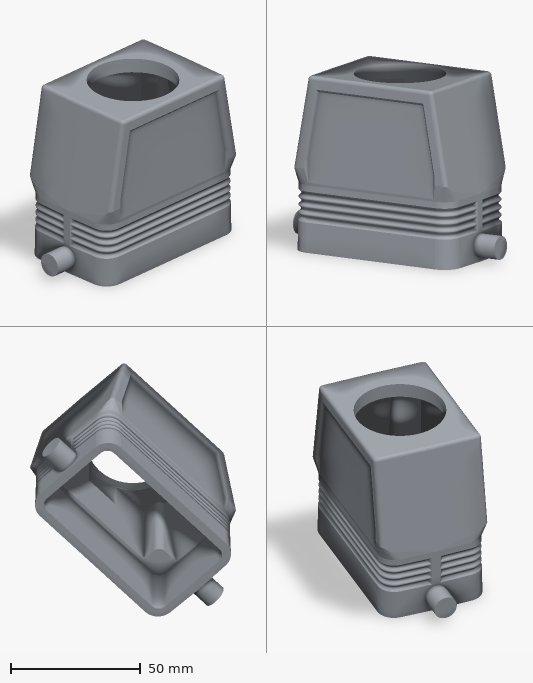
import cadquery as cq
import math

total_length = 91.2
total_height = 70.0
hood_width = 45.0
hood_half_x = hood_width / 2

base_height = 26.6
base_width = 43.3
base_half_x = base_width / 2
base_half_y = 36.5
base_corner_radius = 6.9
base_draft_angle = 0.8
base_draft = math.tan(math.radians(base_draft_angle))
base_crown = math.tan(math.radians(1.5))

hood_lean = math.tan(math.radians(10.3))
hood_crown = math.tan(math.radians(0.6))
hood_corner_radius = 1.55
hood_top_fillet = 1.4

skirt_top = 33.3
skirt_lean = math.tan(math.radians(6.4))

groove_count = 4
groove_pitch = 3.1
groove_top = 24.1
groove_rounding = 0.55
crest_inset = 0.1
groove_overrun = 1.4
strip_half_width = 1.5

panel_depth = 1.0
panel_top = 65.0
panel_knee = 36.6
panel_bottom = 24.6
panel_edge_margin = 4.8

entry_radius = 17.9
entry_scoop_floor = 50.2
pin_diameter = 9.3
pin_height = 6.4

roof_thickness = 5.8
cavity_side_near = 18.2
cavity_side_far = 16.1
end_wall = 3.8
boss_inner_x = 7.75
boss_inner_y = 22.8
boss_rounding = 3.0
rim_wall = 3.2
rim_corner_radius = 3.7

waist_half_x = base_half_x - base_draft * base_height
waist_half_y = base_half_y - base_draft * base_height
waist_corner_radius = base_corner_radius - base_draft * base_height


def peaked_outline(half_x, half_y, crown, corner_radius=0):
    """Rectangle whose two ends rise to a shallow peak on the Y axis."""
    corner_y = half_y - crown * half_x
    points = [
        (half_x, -corner_y),
        (half_x, corner_y),
        (0, half_y),
        (-half_x, corner_y),
        (-half_x, -corner_y),
        (0, -half_y),
        (half_x, -corner_y),
    ]
    outline = cq.Sketch().polygon(points)
    if corner_radius:
        outline = outline.vertices("<X or >X").fillet(corner_radius)
    return outline.reset()


def ruled_body(lower, upper, z_low, z_high):
    """Solid with straight walls between two outlines."""
    raised = upper.moved(cq.Location(cq.Vector(0, 0, z_high - z_low)))
    return cq.Workplane(origin=(0, 0, z_low)).placeSketch(lower, raised).loft(ruled=True)


def hood_half_y(z):
    return waist_half_y - hood_lean * (z - base_height)


def make_base():
    outline = peaked_outline(base_half_x, base_half_y, base_crown, base_corner_radius)
    return cq.Workplane().placeSketch(outline).extrude(base_height, taper=base_draft_angle)


def make_hood():
    lower = peaked_outline(hood_half_x, waist_half_y, hood_crown)
    upper = peaked_outline(hood_half_x, hood_half_y(total_height), hood_crown)
    hood = ruled_body(lower, upper, base_height, total_height)
    side_edges = hood.faces("<X or >X").edges("not #Z")
    hood = side_edges.fillet(hood_corner_radius)
    hood = hood.faces(">Z").edges().fillet(hood_top_fillet)

    skirt_half_y = waist_half_y - skirt_lean * (skirt_top - base_height)
    skirt_low = peaked_outline(waist_half_x, waist_half_y, base_crown, waist_corner_radius)
    skirt_high = peaked_outline(hood_half_x, skirt_half_y, base_crown, hood_corner_radius)
    skirt = ruled_body(skirt_low, skirt_high, base_height, skirt_top)
    above = cq.Workplane(origin=(0, 0, skirt_top)).box(
        total_length, total_length, total_height, centered=(True, True, False)
    )
    return hood.intersect(skirt).union(hood.intersect(above))


def groove_profile():
    """Closed section of the grooves on the YZ plane at the +Y end: 45 degree flanks, rounded."""
    sharp_crest_depth = crest_inset - groove_rounding * (math.sqrt(2) - 1)
    half_pitch = groove_pitch / 2
    valley_depth = half_pitch + sharp_crest_depth

    def at_wall(depth, z):
        return (base_half_y - base_draft * z - depth, z)

    first_valley = groove_top - valley_depth
    zigzag = []
    for step in range(2 * groove_count - 1):
        depth = valley_depth if step % 2 == 0 else sharp_crest_depth
        zigzag.append(at_wall(depth, first_valley - step * half_pitch))
    last_valley = first_valley - (groove_count - 1) * groove_pitch
    upper_end = at_wall(-groove_overrun, first_valley + valley_depth + groove_overrun)
    lower_end = at_wall(-groove_overrun, last_valley - valley_depth - groove_overrun)

    corners = [cq.Vector(0, y, z) for y, z in [upper_end] + zigzag + [lower_end]]
    section = cq.Wire.makePolygon(corners, close=True)
    middle_z = (first_valley + last_valley) / 2
    reach = groove_count * half_pitch
    bends = [vertex for vertex in section.Vertices() if abs(vertex.Z - middle_z) < reach]
    return section.fillet2D(groove_rounding, bends)


def make_grooves():
    """Cutter for the grooves, stopping at a 45 degree flanked strip in the middle of each end."""
    outline = peaked_outline(base_half_x, base_half_y, base_crown, base_corner_radius)
    half_loop = [edge for edge in outline.edges().vals() if edge.Center().x > 0]
    path = cq.Workplane(cq.Wire.assembleEdges(half_loop))
    section = cq.Workplane("YZ").add(groove_profile()).toPending()
    half_cutter = section.sweep(path, transition="right")

    flank_run = 2 * groove_pitch
    outside = base_half_y + groove_overrun
    inside = base_half_y - flank_run
    strip = (
        cq.Workplane("XY")
        .moveTo(-strip_half_width - flank_run, inside)
        .lineTo(strip_half_width + flank_run, inside)
        .lineTo(strip_half_width, base_half_y)
        .lineTo(strip_half_width, outside)
        .lineTo(-strip_half_width, outside)
        .lineTo(-strip_half_width, base_half_y)
        .close()
        .extrude(base_height)
    )
    half_cutter = half_cutter.cut(strip).cut(strip.mirror("XZ"))
    return [half_cutter, half_cutter.mirror("YZ")]


def make_panel_recess():
    """Cutter for the panel on the -X side, with 45 degree walls."""
    top_y = hood_half_y(panel_top) - panel_edge_margin
    knee_y = hood_half_y(panel_knee) - panel_edge_margin
    points = [
        (-top_y, panel_top),
        (top_y, panel_top),
        (knee_y, panel_knee),
        (knee_y, panel_bottom),
        (-knee_y, panel_bottom),
        (-knee_y, panel_knee),
    ]
    plane = cq.Workplane("YZ", origin=(-hood_half_x, 0, 0))
    return plane.polyline(points).close().extrude(panel_depth, taper=45)


def make_cavity():
    """Hollow below the roof with a post in each corner, wider within the base."""
    ceiling = total_height - roof_thickness
    ceiling_y = hood_half_y(ceiling) - end_wall
    waist_y = waist_half_y - end_wall
    width = cavity_side_near + cavity_side_far
    end_profile = [
        (-waist_y, base_height),
        (waist_y, base_height),
        (ceiling_y, ceiling),
        (-ceiling_y, ceiling),
    ]
    hollow = (
        cq.Workplane("YZ", origin=(-cavity_side_near, 0, 0))
        .polyline(end_profile)
        .close()
        .extrude(width)
    )
    post_reach = total_length / 2
    post = (
        cq.Workplane(origin=(boss_inner_x, boss_inner_y, base_height))
        .rect(post_reach, post_reach, centered=False)
        .extrude(total_height)
        .edges("|Z and <X and <Y")
        .fillet(boss_rounding)
    )
    posts = post.union(post.mirror("XZ"))
    posts = posts.union(posts.mirror("YZ"))
    hollow = hollow.cut(posts)

    rim_hollow = (
        cq.Workplane()
        .rect(2 * (waist_half_x - rim_wall), 2 * (waist_half_y - rim_wall))
        .extrude(base_height)
        .edges("|Z")
        .fillet(rim_corner_radius)
    )
    return hollow.union(rim_hollow)


def make_entry():
    depth = total_height - entry_scoop_floor
    return cq.Workplane(origin=(0, 0, entry_scoop_floor)).circle(entry_radius).extrude(depth)


def make_pin():
    """Locking pin on the +Y end, rooted in the end wall."""
    root_y = waist_half_y - rim_wall / 2
    pin = cq.Workplane("XZ", origin=(0, root_y, pin_height)).circle(pin_diameter / 2)
    return pin.extrude(root_y - total_length / 2)


base = make_base()
for cutter in make_grooves():
    base = base.cut(cutter)
body = base.union(make_hood())
recess = make_panel_recess()
body = body.cut(recess).cut(recess.mirror("YZ"))
body = body.cut(make_cavity()).cut(make_entry())
pin = make_pin()
result = body.union(pin).union(pin.mirror("XZ"))